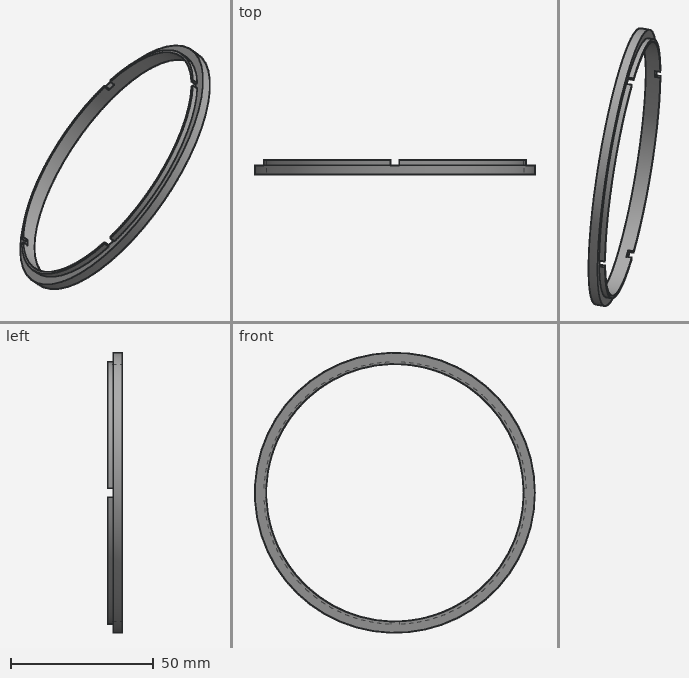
import cadquery as cq

flange_diameter = 98.0
lip_diameter = 91.8
bore_diameter = 90.0
total_depth = 5.2
lip_depth = 2.0
flange_depth = total_depth - lip_depth
notch_width = 3.0


def disc(diameter, depth):
    """Solid disc growing from the front face (Y = 0) toward +Y."""
    return cq.Workplane("XZ").circle(diameter / 2).extrude(-depth)


def notch_bar(length_x, length_z):
    """Bar across the whole lip that cuts two opposite notches."""
    return (
        cq.Workplane("XY")
        .box(length_x, lip_depth, length_z)
        .translate((0, flange_depth + lip_depth / 2, 0))
    )


ring = disc(flange_diameter, flange_depth).union(disc(lip_diameter, total_depth))
ring = ring.cut(disc(bore_diameter, total_depth))

ring = ring.cut(notch_bar(notch_width, flange_diameter))
result = ring.cut(notch_bar(flange_diameter, notch_width))